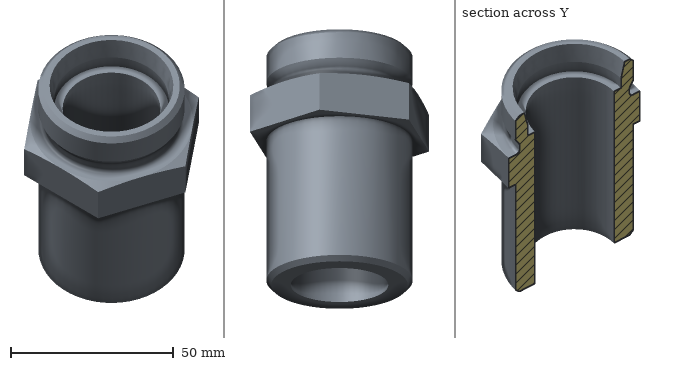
import cadquery as cq
import math

total_height = 76.0
hex_height = 13.0
collar_length = 9.9
neck_base_depth = 16.0
hex_top = total_height - neck_base_depth
collar_bottom = total_height - collar_length

body_diameter = 45.0
neck_diameter = 42.0
end_chamfer = 1.5
neck_cone_angle = 30.0
neck_fillet = 1.2
hex_flats = 50.0
hex_corners = hex_flats / math.cos(math.radians(30))
hex_chamfer_angle = 15.0

bore_diameter = 30.0
socket_diameter = 35.3
socket_depth = 10.5
mouth_diameter = 38.0
mouth_half_angle = 12.0


def revolve(points):
    """Turn a closed (radius, height) outline about the Z axis."""
    outline = cq.Workplane("XZ").polyline(points).close()
    return outline.revolve(360, (0, 0, 0), (0, 1, 0))


def make_tube():
    """Lower tube, reaching up to the hexagon, with a chamfered end."""
    tube = cq.Workplane("XY").circle(body_diameter / 2).extrude(hex_top - hex_height)
    return tube.faces("<Z").chamfer(end_chamfer)


def make_hexagon():
    """Hexagon with corners on Y and its upper corners cut to a shallow cone."""
    hex_bottom = hex_top - hex_height
    face_radius = hex_flats / 2
    corner_radius = hex_corners / 2
    corner_drop = (corner_radius - face_radius) * math.tan(math.radians(hex_chamfer_angle))
    prism = (
        cq.Workplane("XY", origin=(0, 0, hex_bottom))
        .polygon(6, hex_corners)
        .extrude(hex_height)
        .rotate((0, 0, 0), (0, 0, 1), 30)
    )
    envelope = revolve([
        (0, hex_bottom),
        (corner_radius, hex_bottom),
        (corner_radius, hex_top - corner_drop),
        (face_radius, hex_top),
        (0, hex_top),
    ])
    return prism.intersect(envelope)


def make_collar_and_neck():
    """Upper collar tapering to a neck whose two ends are rounded."""
    body_radius = body_diameter / 2
    neck_radius = neck_diameter / 2
    cone_angle = math.radians(neck_cone_angle)
    cone_end = collar_bottom - (body_radius - neck_radius) / math.tan(cone_angle)

    tangent_length = neck_fillet * math.tan(cone_angle / 2)
    round_start = cone_end - tangent_length
    round_end_radius = neck_radius + tangent_length * math.sin(cone_angle)
    round_end_height = cone_end + tangent_length * math.cos(cone_angle)

    outline = (
        cq.Workplane("XZ")
        .moveTo(0, hex_top)
        .lineTo(neck_radius + neck_fillet, hex_top)
        .radiusArc((neck_radius, hex_top + neck_fillet), neck_fillet)
        .lineTo(neck_radius, round_start)
        .radiusArc((round_end_radius, round_end_height), neck_fillet)
        .lineTo(body_radius, collar_bottom)
        .lineTo(body_radius, total_height - end_chamfer)
        .lineTo(body_radius - end_chamfer, total_height)
        .lineTo(0, total_height)
        .close()
    )
    return outline.revolve(360, (0, 0, 0), (0, 1, 0))


def make_bore():
    """Stepped passage running the whole height."""
    bore_radius = bore_diameter / 2
    socket_radius = socket_diameter / 2
    mouth_radius = mouth_diameter / 2
    mouth_depth = (mouth_radius - socket_radius) / math.tan(math.radians(mouth_half_angle))
    return revolve([
        (0, 0),
        (bore_radius, 0),
        (bore_radius, total_height - socket_depth),
        (socket_radius, total_height - socket_depth),
        (socket_radius, total_height - mouth_depth),
        (mouth_radius, total_height),
        (0, total_height),
    ])


result = make_tube().union(make_hexagon()).union(make_collar_and_neck()).cut(make_bore())